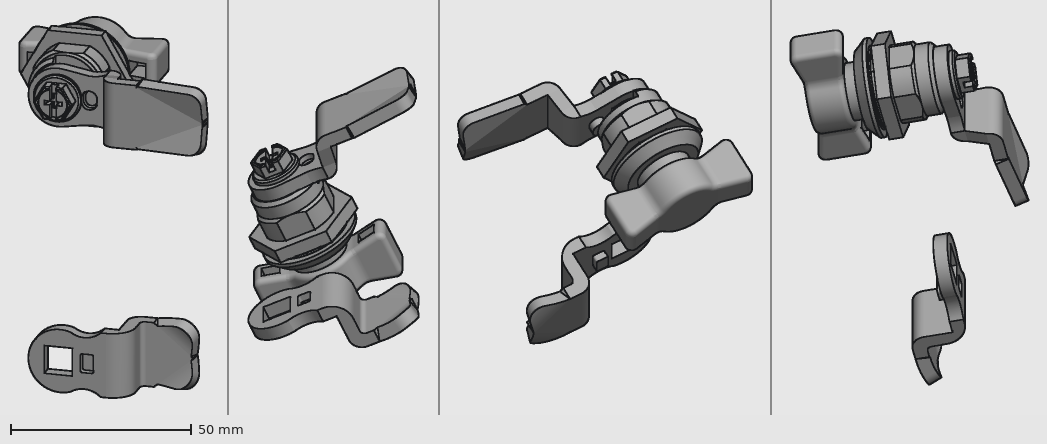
import cadquery as cq
import math


wing_reach = 20.0
wing_half_height = 5.0
knob_mid_y = 13.1
hub_radius = 10.2
hub_half_depth = 5.6
wing_flare_start = 9.7
wing_flare_radius = 5.1
wing_end_half_depth = 7.9
wing_blend_radius = 3.7
knob_corner_radius = 2.0
knob_edge_fillet = 1.5
pocket_inner_x = 11.9
pocket_outer_x = 17.1
pocket_height = 4.3
pocket_depth = 10.2

neck_radius = 8.1
neck_seat_depth = 3.1
journal_radius = 5.0
square_size = 8.1

flange_top_y = 4.2
flange_rim_y = 1.1
flange_top_radius = 11.1
flange_radius = 14.0
thread_radius = 11.0
barrel_size = 20.2
thread_end_y = -11.9
barrel_start_y = -12.7
barrel_chamfer = 1.1
notch_top_y = -15.0
cam_seat_y = -17.8

gasket_thickness = 0.5
gasket_chamfer = 0.4
gasket_radius = 11.8
nut_top_y = -1.7
nut_thickness = 4.0
nut_across_flats = 27.0

sheet = 4.0
arm_half_width = 9.5
tab_height = 2.2
spare_cam_z = -77.5
stop_half_width = 2.7

washer_radius = 6.8
washer_thickness = 1.5
washer_chamfer = 0.5
head_across_flats = 9.6
head_height = 4.1
head_chamfer = 0.4
shank_radius = 2.5
shank_depth = 10.2
dish_radius = 4.2
dish_depth = 0.5
slot_width = 1.9
slot_depth = 2.7
cross_width = 1.1
cross_length = 5.3
cross_floor_length = 4.0
cross_depth = 3.6

hub_bottom_y = knob_mid_y - hub_half_depth
cam_face_y = cam_seat_y - sheet
washer_face_y = cam_face_y - washer_thickness
head_face_y = washer_face_y - head_height


def face_plane(y):
    """Workplane across the lock axis: local x is X, local y is Z, and extrusion runs toward -Y."""
    return cq.Workplane("XZ", origin=(0, y, 0))


def rod(radius, top_y, bottom_y):
    return face_plane(top_y).circle(radius).extrude(top_y - bottom_y)


def turned(points):
    """Solid of revolution about the lock axis from (radius, y) points."""
    return cq.Workplane("XY").polyline(points).close().revolve(360, (0, 0), (0, 1))


def hexagon(across_flats, top_y, height):
    corner_diameter = across_flats / math.cos(math.pi / 6)
    return face_plane(top_y).polygon(6, corner_diameter).extrude(height)


def flatted_rod(top_y, bottom_y):
    """Thread section of the housing: a rod with four flats."""
    flats = face_plane(top_y).rect(barrel_size, barrel_size).extrude(top_y - bottom_y)
    return rod(thread_radius, top_y, bottom_y).intersect(flats)


def make_knob():
    top_y = knob_mid_y + wing_end_half_depth
    depth = 2 * wing_end_half_depth
    body = rod(hub_radius, top_y, top_y - depth)
    wings = face_plane(top_y).rect(2 * wing_reach, 2 * wing_half_height).extrude(depth)
    body = body.union(wings)
    root_x = math.sqrt(hub_radius**2 - wing_half_height**2)
    for x in (-root_x, root_x):
        for z in (-wing_half_height, wing_half_height):
            root = cq.selectors.NearestToPointSelector((x, knob_mid_y, z))
            body = body.edges("|Y").edges(root).fillet(wing_blend_radius)

    bow_tie = (
        cq.Workplane("XY", origin=(0, knob_mid_y, 0))
        .polyline([
            (-wing_reach, -wing_end_half_depth),
            (-wing_flare_start, -hub_half_depth),
            (wing_flare_start, -hub_half_depth),
            (wing_reach, -wing_end_half_depth),
            (wing_reach, wing_end_half_depth),
            (wing_flare_start, hub_half_depth),
            (-wing_flare_start, hub_half_depth),
            (-wing_reach, wing_end_half_depth),
        ])
        .close()
        .extrude(hub_radius, both=True)
    )
    for x in (-wing_flare_start, wing_flare_start):
        for y in (knob_mid_y - hub_half_depth, knob_mid_y + hub_half_depth):
            bend = cq.selectors.NearestToPointSelector((x, y, 0))
            bow_tie = bow_tie.edges("|Z").edges(bend).fillet(wing_flare_radius)
    body = body.intersect(bow_tie)
    body = body.faces("<X or >X").edges("|Z").fillet(knob_corner_radius)
    body = body.faces("<X").edges("|Y").fillet(knob_edge_fillet)

    seat = rod(neck_radius, hub_bottom_y + neck_seat_depth, hub_bottom_y)
    pocket_floor_y = knob_mid_y - wing_end_half_depth + pocket_depth
    pockets = (
        face_plane(pocket_floor_y)
        .pushPoints([(side * (pocket_inner_x + pocket_outer_x) / 2, 0) for side in (-1, 1)])
        .rect(pocket_outer_x - pocket_inner_x, pocket_height)
        .extrude(pocket_depth)
    )
    return body.cut(seat).cut(pockets)


def make_spindle():
    neck = rod(neck_radius, hub_bottom_y + neck_seat_depth, flange_top_y)
    journal = rod(journal_radius, flange_top_y, cam_seat_y)
    square = face_plane(cam_seat_y).rect(square_size, square_size).extrude(sheet)
    square = square.intersect(rod(journal_radius, cam_seat_y, cam_face_y))
    screw_hole = rod(shank_radius, cam_face_y + shank_depth, cam_face_y)
    return neck.union(journal).union(square).cut(screw_hole)


def make_housing():
    flange = turned([
        (0, flange_top_y),
        (flange_top_radius, flange_top_y),
        (flange_radius, flange_rim_y),
        (flange_radius, 0),
        (0, 0),
    ])
    barrel_radius = barrel_size / 2
    core = turned([
        (0, 0),
        (thread_radius, 0),
        (thread_radius, thread_end_y),
        (barrel_radius, barrel_start_y),
        (barrel_radius, cam_seat_y + barrel_chamfer),
        (barrel_radius - barrel_chamfer, cam_seat_y),
        (0, cam_seat_y),
    ])
    flats = face_plane(0).rect(barrel_size, barrel_size).extrude(-cam_seat_y)
    bore = rod(journal_radius, flange_top_y, cam_seat_y)
    notch = (
        face_plane(notch_top_y)
        .rect(barrel_size, barrel_size, centered=False)
        .extrude(notch_top_y - cam_seat_y)
        .translate((-stop_half_width, 0, -stop_half_width))
    )
    return flange.union(core.intersect(flats)).cut(bore).cut(notch)


def make_gasket():
    ring = rod(gasket_radius, 0, -gasket_thickness).faces("<Y").chamfer(gasket_chamfer)
    return ring.cut(flatted_rod(0, -gasket_thickness))


def make_nut():
    hole = flatted_rod(nut_top_y, nut_top_y - nut_thickness)
    return hexagon(nut_across_flats, nut_top_y, nut_thickness).cut(hole)


def make_washer():
    disc = rod(washer_radius, cam_face_y, washer_face_y).faces("<Y").edges().chamfer(washer_chamfer)
    return disc.cut(rod(shank_radius, cam_face_y, washer_face_y))


def make_screw():
    head = hexagon(head_across_flats, washer_face_y, head_height).faces("<Y").edges().chamfer(head_chamfer)
    shank = rod(shank_radius, cam_face_y + shank_depth, washer_face_y)
    dish = rod(dish_radius, head_face_y + dish_depth, head_face_y)
    slot = face_plane(head_face_y + slot_depth).rect(slot_width, head_across_flats).extrude(slot_depth)
    cross_arm = (
        cq.Workplane("XY")
        .polyline([
            (-cross_length / 2, head_face_y),
            (cross_length / 2, head_face_y),
            (cross_floor_length / 2, head_face_y + cross_depth),
            (-cross_floor_length / 2, head_face_y + cross_depth),
        ])
        .close()
        .extrude(cross_width / 2, both=True)
    )
    screw = head.union(shank).cut(dish).cut(slot)
    for turn in (0, 90):
        screw = screw.cut(cross_arm.rotate((0, 0, 0), (0, 1, 0), turn))
    return screw


def stop_tab(inner_x, outer_x, corner_radius):
    """Half-sheared stop: the raised tab, and the dimple of the same size punched behind it."""
    centre_x = (inner_x + outer_x) / 2
    block = (
        face_plane(cam_seat_y + tab_height)
        .center(centre_x, 0)
        .rect(outer_x - inner_x, 2 * stop_half_width)
        .extrude(tab_height)
        .edges("|Y")
        .fillet(corner_radius)
    )
    return block, block.translate((0, -sheet, 0))


def finish_cam(arm, flap, tab, dimple):
    """Add both corner flaps and the stop tab, then cut the square drive hole and the dimple."""
    hole = face_plane(cam_seat_y).rect(square_size, square_size).extrude(sheet)
    return arm.union(flap).union(flap.mirror("XY")).union(tab).cut(dimple).cut(hole)


def make_latch_cam():
    """Cam on the lock: a waisted plate stepped toward -Y, with its two tip corners folded."""
    hub = 8.61
    waist_x = 9.0
    bend_x = 14.0
    neck_rise = 0.1
    neck_half_width = 8.0
    dimple_floor_chamfer = 0.5
    web_lean = math.radians(10)
    web_length = 6.6
    fold_x = 25.5
    tip_x = 45.0
    tip_half_width = 0.5
    flap_half_width = 10.2
    flap_start_x = 26.3
    flap_corner_radius = 3.6
    fold_angle = 15.2
    edge_slope = math.radians(9.6)

    down = (math.sin(web_lean), -math.cos(web_lean))
    across = (math.cos(web_lean), math.sin(web_lean))
    upper = (bend_x, cam_face_y)
    upper_out = (upper[0] + sheet * across[0], upper[1] + sheet * across[1])
    lower = (upper_out[0] + web_length * down[0], upper_out[1] + web_length * down[1])
    lower_out = (lower[0] - sheet * across[0], lower[1] - sheet * across[1])
    half_turn = math.pi / 4 + web_lean / 2
    bulge = (sheet * math.cos(half_turn), sheet * math.sin(half_turn))
    profile = (
        cq.Workplane("XY")
        .moveTo(-hub, cam_seat_y)
        .lineTo(bend_x, cam_seat_y)
        .threePointArc((upper[0] + bulge[0], upper[1] + bulge[1]), upper_out)
        .lineTo(*lower)
        .lineTo(tip_x, lower[1])
        .lineTo(tip_x, lower[1] - sheet)
        .lineTo(lower[0], lower[1] - sheet)
        .threePointArc((lower[0] - bulge[0], lower[1] - bulge[1]), lower_out)
        .lineTo(*upper)
        .lineTo(-hub, cam_face_y)
        .close()
        .extrude(arm_half_width, both=True)
    )

    tangent = (hub * math.sin(edge_slope), hub * math.cos(edge_slope))
    waist = (waist_x, tangent[1] - (waist_x - tangent[0]) * math.tan(edge_slope))
    neck_mid = ((waist_x + bend_x) / 2, waist[1] + neck_rise)
    outline = (
        face_plane(cam_seat_y)
        .moveTo(-hub, 0)
        .threePointArc((-hub * math.sin(math.pi / 4), hub * math.cos(math.pi / 4)), tangent)
        .lineTo(*waist)
        .threePointArc(neck_mid, (bend_x, neck_half_width))
        .lineTo(bend_x, arm_half_width)
        .lineTo(fold_x, arm_half_width)
        .lineTo(tip_x, tip_half_width)
        .lineTo(tip_x, 0)
        .close()
        .extrude(cam_seat_y - lower[1] + sheet)
    )
    web_trim = (
        cq.Workplane("YZ", origin=(bend_x, 0, 0))
        .polyline([
            (cam_seat_y, neck_half_width),
            (cam_face_y, neck_half_width),
            (lower[1], arm_half_width),
            (cam_seat_y, arm_half_width),
        ])
        .close()
        .extrude(2 * sheet)
    )
    arm = profile.intersect(outline.union(outline.mirror("XY")))
    arm = arm.cut(web_trim).cut(web_trim.mirror("XY"))

    flap = (
        face_plane(lower[1])
        .polyline([
            (fold_x, arm_half_width),
            (flap_start_x, flap_half_width),
            (tip_x, flap_half_width),
            (tip_x, tip_half_width),
        ])
        .close()
        .extrude(sheet)
        .edges("|Y")
        .edges(cq.selectors.NearestToPointSelector((tip_x, lower[1] - sheet / 2, flap_half_width)))
        .fillet(flap_corner_radius)
        .rotate((fold_x, lower[1], arm_half_width), (tip_x, lower[1], tip_half_width), fold_angle)
    )
    tab, dimple = stop_tab(6.8, 11.2, 2.1)
    dimple = dimple.faces(">Y").edges().chamfer(dimple_floor_chamfer)
    return finish_cam(arm, flap, tab, dimple)


def make_spare_cam():
    """Loose cam: a waisted plate stepped toward +Y, with its two tip corners rolled."""
    hub = 9.3
    hub_x = 0.6
    hub_end_x = 3.6
    waist = (6.6, 7.6)
    wide_x = 12.3
    bend_x = 13.9
    web_x = 16.4
    arm_top_y = -5.6
    inner_fillet = 1.4
    fold_x = 24.0
    tip_x = 35.5
    flap_half_width = 11.0
    flap_end_x = 36.9
    flap_corner_radius = 4.6
    roll_radius = 14.3
    roll_angle = 45.0
    flap_tilt = 22.0

    arm_face_y = arm_top_y - sheet
    web_out_x = web_x + sheet
    lower_radius = web_out_x - bend_x
    diagonal = math.sin(math.pi / 4)
    profile = (
        cq.Workplane("XY")
        .moveTo(hub_x - hub, cam_seat_y)
        .lineTo(web_x, cam_seat_y)
        .lineTo(web_x, arm_face_y)
        .threePointArc(
            (web_out_x - sheet * diagonal, arm_face_y + sheet * diagonal), (web_out_x, arm_top_y)
        )
        .lineTo(tip_x, arm_top_y)
        .lineTo(tip_x, arm_face_y)
        .lineTo(web_out_x + inner_fillet, arm_face_y)
        .threePointArc(
            (
                web_out_x + inner_fillet * (1 - diagonal),
                arm_face_y - inner_fillet * (1 - diagonal),
            ),
            (web_out_x, arm_face_y - inner_fillet),
        )
        .lineTo(web_out_x, cam_face_y + lower_radius)
        .threePointArc(
            (bend_x + lower_radius * diagonal, cam_face_y + lower_radius * (1 - diagonal)),
            (bend_x, cam_face_y),
        )
        .lineTo(hub_x - hub, cam_face_y)
        .close()
        .extrude(arm_half_width, both=True)
    )

    hub_end = (hub_end_x, math.sqrt(hub**2 - (hub_end_x - hub_x) ** 2))
    outline = (
        face_plane(arm_top_y)
        .moveTo(hub_x - hub, 0)
        .threePointArc((hub_x - hub * diagonal, hub * diagonal), hub_end)
        .threePointArc(waist, (wide_x, arm_half_width))
        .lineTo(fold_x, arm_half_width)
        .lineTo(tip_x, 0)
        .close()
        .extrude(arm_top_y - cam_face_y)
    )
    arm = profile.intersect(outline.union(outline.mirror("XY")))

    fold_start = cq.Vector(fold_x, arm_top_y, arm_half_width)
    fold_end = cq.Vector(tip_x, arm_top_y, 0)
    fold = fold_end - fold_start
    outward = cq.Vector(-fold.z, 0, fold.x)
    end_turn = math.radians(roll_angle)
    mid_turn = end_turn / 2
    inner_roll = roll_radius - sheet

    def on_roll(radius, turn):
        return (radius * math.sin(turn), roll_radius - radius * math.cos(turn))

    rolled = (
        cq.Workplane(cq.Plane(fold_start, outward, fold))
        .moveTo(*on_roll(roll_radius, 0))
        .threePointArc(on_roll(roll_radius, mid_turn), on_roll(roll_radius, end_turn))
        .lineTo(*on_roll(inner_roll, end_turn))
        .threePointArc(on_roll(inner_roll, mid_turn), on_roll(inner_roll, 0))
        .close()
        .extrude(2 * fold.Length, both=True)
    )
    trim = (
        face_plane(arm_top_y + sheet)
        .polyline([
            (fold_x, arm_half_width),
            (flap_end_x, flap_half_width),
            (tip_x, 0),
        ])
        .close()
        .extrude(4 * sheet)
    )
    trim = (
        trim.edges("|Y")
        .edges(cq.selectors.NearestToPointSelector((flap_end_x, arm_face_y, flap_half_width)))
        .fillet(flap_corner_radius)
        .rotate(fold_start.toTuple(), fold_end.toTuple(), flap_tilt)
    )
    tab, dimple = stop_tab(6.4, 10.2, 0.6)
    return finish_cam(arm, rolled.intersect(trim), tab, dimple).translate((0, 0, spare_cam_z))


knob = make_knob()
spindle = make_spindle()
housing = make_housing()
gasket = make_gasket()
nut = make_nut()
latch_cam = make_latch_cam()
washer = make_washer()
screw = make_screw()
spare_cam = make_spare_cam()

result = cq.Compound.makeCompound([
    knob.val(),
    spindle.val(),
    housing.val(),
    gasket.val(),
    nut.val(),
    latch_cam.val(),
    washer.val(),
    screw.val(),
    spare_cam.val(),
])